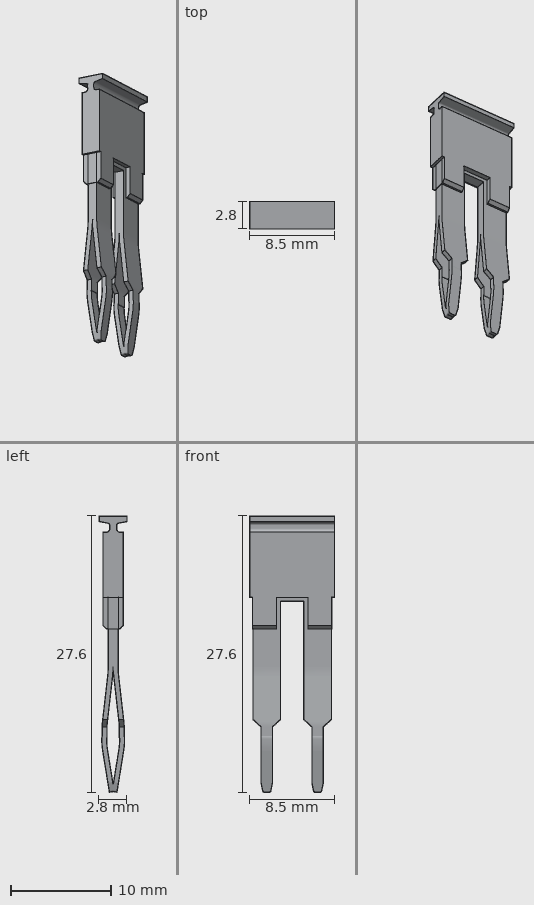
import cadquery as cq
import math

TOTAL_HEIGHT = 27.6
HOUSING_WIDTH = 8.5

HEAD_HALF = 2.8 / 2
HEAD_EDGE = 0.55
HEAD_SLOPE_DROP = 0.2
WEB_HALF = 0.35
WEB_TOP_FILLET = 0.22
WEB_FOOT_FILLET = 0.33
BODY_HALF = 2.05 / 2
BODY_TOP_Z = 26.0
BODY_CHAMFER = 0.33

STEP_Z = 19.5
HOUSING_BOTTOM_Z = 16.35
HOUSING_FOOT_HALF = 3.98
NOTCH_HALF = 1.57

SHEET = BODY_HALF / 2
LEG_PITCH = 5.08
LEG_WIDTH = 2.8
CROSSBAR_BOTTOM_Z = 19.08
CROSSBAR_HEIGHT = LEG_WIDTH
CROSSBAR_TOP_Z = CROSSBAR_BOTTOM_Z + CROSSBAR_HEIGHT

SPLAY_ANGLE = 6.5
TIP_ANGLE = 9.2
SPLIT_Z = 12.5
SPLAY_START_Z = 11.6
SPLAY_END_Z = 7.0
UPRIGHT_START_Z = 6.55
RIDGE_START_Z = 5.6
RIDGE_Z = 5.35
RIDGE_HEIGHT = 0.041
INNER_RIDGE_RISE = 0.15
TIP_START_Z = 4.11
TIP_TRIM = 0.28

PRONG_HALF = 0.58
SHOULDER_TOP_Z = 7.3
SHOULDER_BOTTOM_Z = 6.55
TIP_HALF = 0.4
TIP_TAPER_LENGTH = 0.95
TIP_FILLET = 0.17


def bend_shift(length, angle):
    """Sideways shift of an arc that turns from upright to the angle over the given height."""
    return length * math.tan(math.radians(angle / 2))


def straight_shift(length, angle):
    """Sideways shift of a straight stretch inclined by the angle over the given height."""
    return length * math.tan(math.radians(angle))


def inner_point(outer, lean):
    """Point one sheet thickness inside an outer (y, z) point; a positive lean faces upward."""
    lean = math.radians(lean)
    return outer[0] - SHEET * math.cos(lean), outer[1] - SHEET * math.sin(lean)


splay_start = (SHEET + bend_shift(SPLIT_Z - SPLAY_START_Z, SPLAY_ANGLE), SPLAY_START_Z)
splay_end = (splay_start[0] + straight_shift(SPLAY_START_Z - SPLAY_END_Z, SPLAY_ANGLE), SPLAY_END_Z)
upright_start = (splay_end[0] + bend_shift(SPLAY_END_Z - UPRIGHT_START_Z, SPLAY_ANGLE), UPRIGHT_START_Z)
ridge_start = (upright_start[0], RIDGE_START_Z)
ridge = (upright_start[0] + RIDGE_HEIGHT, RIDGE_Z)
tip_start = (ridge[0] - bend_shift(RIDGE_Z - TIP_START_Z, TIP_ANGLE), TIP_START_Z)
tip_end = (tip_start[0] - straight_shift(TIP_START_Z, TIP_ANGLE), 0)
trim_end = (tip_end[0] - straight_shift(TIP_TRIM, TIP_ANGLE), -TIP_TRIM)


def make_arm():
    """One half of a leg on the +Y side, centred on X = 0: half the neck and one fork arm."""
    ridge_rise = RIDGE_START_Z - RIDGE_Z
    ridge_radius = (ridge_rise**2 + RIDGE_HEIGHT**2) / (2 * RIDGE_HEIGHT)
    inner_tip_start = inner_point(tip_start, -TIP_ANGLE)
    arms_meet_z = inner_tip_start[1] - inner_tip_start[0] / math.tan(math.radians(TIP_ANGLE))
    inner_ridge = inner_point(ridge, 0)
    profile = (
        cq.Workplane("YZ", origin=(-LEG_WIDTH / 2, 0, 0))
        .moveTo(0, CROSSBAR_TOP_Z)
        .lineTo(SHEET, CROSSBAR_TOP_Z)
        .lineTo(SHEET, SPLIT_Z)
        .tangentArcPoint(splay_start, relative=False)
        .lineTo(*splay_end)
        .tangentArcPoint(upright_start, relative=False)
        .lineTo(*ridge_start)
        .radiusArc(ridge, ridge_radius)
        .tangentArcPoint(tip_start, relative=False)
        .lineTo(*trim_end)
        .lineTo(0, -TIP_TRIM)
        .lineTo(0, arms_meet_z)
        .lineTo(*inner_tip_start)
        .tangentArcPoint(inner_ridge, relative=False)
        .lineTo(upright_start[0] - SHEET, RIDGE_Z + INNER_RIDGE_RISE)
        .lineTo(*inner_point(upright_start, 0))
        .tangentArcPoint(inner_point(splay_end, SPLAY_ANGLE), relative=False)
        .lineTo(*inner_point(splay_start, SPLAY_ANGLE))
        .tangentArcPoint((0, SPLIT_Z), relative=False)
        .close()
    )
    return profile.extrude(LEG_WIDTH).intersect(prong_outline()).intersect(tip_outline())


def prong_outline():
    """Straight-sided leg narrowing through sloping shoulders to the prong, extruded along Y."""
    leg_half = LEG_WIDTH / 2
    return (
        cq.Workplane("XZ")
        .polyline([
            (-leg_half, CROSSBAR_TOP_Z),
            (-leg_half, SHOULDER_TOP_Z),
            (-PRONG_HALF, SHOULDER_BOTTOM_Z),
            (-PRONG_HALF, -TIP_TRIM),
            (PRONG_HALF, -TIP_TRIM),
            (PRONG_HALF, SHOULDER_BOTTOM_Z),
            (leg_half, SHOULDER_TOP_Z),
            (leg_half, CROSSBAR_TOP_Z),
        ])
        .close()
        .extrude(HEAD_HALF, both=True)
    )


def tip_outline():
    """Tapered tip with rounded corners, extruded square to the inclined arm; full width above it."""
    lean = math.radians(TIP_ANGLE)
    arm_plane = cq.Plane(
        origin=(0, tip_end[0], 0),
        xDir=(1, 0, 0),
        normal=(0, -math.cos(lean), math.sin(lean)),
    )
    tip = (
        cq.Workplane(arm_plane)
        .polyline([
            (-TIP_HALF, 0),
            (TIP_HALF, 0),
            (PRONG_HALF, TIP_TAPER_LENGTH),
            (LEG_WIDTH, TIP_TAPER_LENGTH),
            (LEG_WIDTH, TOTAL_HEIGHT),
            (-LEG_WIDTH, TOTAL_HEIGHT),
            (-LEG_WIDTH, TIP_TAPER_LENGTH),
            (-PRONG_HALF, TIP_TAPER_LENGTH),
        ])
        .close()
        .extrude(TOTAL_HEIGHT, both=True)
    )
    corners = cq.selectors.BoxSelector(
        (-TIP_HALF - TIP_FILLET, -TOTAL_HEIGHT, -TOTAL_HEIGHT),
        (TIP_HALF + TIP_FILLET, TOTAL_HEIGHT, TIP_FILLET),
    )
    return tip.edges(cq.selectors.ParallelDirSelector(arm_plane.zDir)).edges(corners).fillet(TIP_FILLET)


def make_bridge():
    """Crossbar with two forked legs, one solid."""
    arm = make_arm()
    leg = arm.union(arm.mirror("XZ"))
    bridge = cq.Workplane("XY", origin=(0, 0, CROSSBAR_BOTTOM_Z)).box(
        LEG_PITCH, 2 * SHEET, CROSSBAR_HEIGHT, centered=(True, True, False)
    )
    for side in (-1, 1):
        bridge = bridge.union(leg.translate((side * LEG_PITCH / 2, 0, 0)))
    return bridge


def fillet_web(housing, corner_z, radius):
    """Round the two inside corners of the web at the given height."""
    corners = cq.selectors.BoxSelector(
        (-HOUSING_WIDTH, -2 * WEB_HALF, corner_z - radius / 2),
        (HOUSING_WIDTH, 2 * WEB_HALF, corner_z + radius / 2),
    )
    return housing.edges("|X").edges(corners).fillet(radius)


def make_housing(bridge):
    """Grip housing with a T-shaped head, notched at the bottom and pocketed for the bridge."""
    rim_z = TOTAL_HEIGHT - HEAD_EDGE
    half_section = [
        (0, TOTAL_HEIGHT),
        (HEAD_HALF, TOTAL_HEIGHT),
        (HEAD_HALF, rim_z),
        (WEB_HALF, rim_z - HEAD_SLOPE_DROP),
        (WEB_HALF, BODY_TOP_Z),
        (BODY_HALF, BODY_TOP_Z),
        (BODY_HALF, HOUSING_BOTTOM_Z + BODY_CHAMFER),
        (BODY_HALF - BODY_CHAMFER, HOUSING_BOTTOM_Z),
        (0, HOUSING_BOTTOM_Z),
    ]
    housing = (
        cq.Workplane("YZ", origin=(-HOUSING_WIDTH / 2, 0, 0))
        .polyline(half_section)
        .mirrorY()
        .extrude(HOUSING_WIDTH)
    )
    housing = fillet_web(housing, rim_z - HEAD_SLOPE_DROP, WEB_TOP_FILLET)
    housing = fillet_web(housing, BODY_TOP_Z, WEB_FOOT_FILLET)

    foot_height = STEP_Z - HOUSING_BOTTOM_Z
    notch = cq.Workplane("XY", origin=(0, 0, HOUSING_BOTTOM_Z)).box(
        2 * NOTCH_HALF, 2 * BODY_HALF, foot_height, centered=(True, True, False)
    )
    housing = housing.cut(notch)
    step_depth = HOUSING_WIDTH / 2 - HOUSING_FOOT_HALF
    for side in (-1, 1):
        step_x = side * (HOUSING_FOOT_HALF + step_depth / 2)
        side_step = cq.Workplane("XY", origin=(step_x, 0, HOUSING_BOTTOM_Z)).box(
            step_depth, 2 * BODY_HALF, foot_height, centered=(True, True, False)
        )
        housing = housing.cut(side_step)
    return housing.cut(bridge)


bridge = make_bridge()
housing = make_housing(bridge)

result = cq.Compound.makeCompound([housing.solids().val(), bridge.solids().val()])